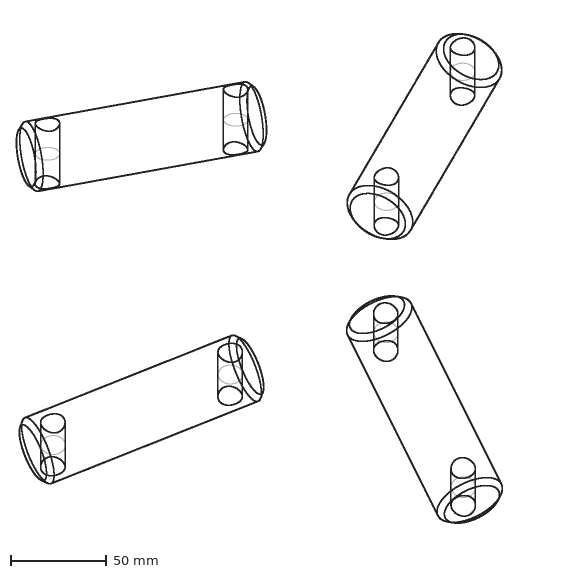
import cadquery as cq

pin_length = 128.1
pin_diameter = 37.3
end_chamfer = 3.0
hole_diameter = 12.8
hole_end_distance = 11.8

hole_offset = pin_length / 2 - hole_end_distance

pin = (
    cq.Workplane("XZ")
    .cylinder(pin_length, pin_diameter / 2)
    .faces("<Y or >Y")
    .chamfer(end_chamfer)
)

cross_holes = (
    cq.Workplane("XY")
    .pushPoints([(0, -hole_offset), (0, hole_offset)])
    .circle(hole_diameter / 2)
    .extrude(pin_diameter, both=True)
)

result = pin.cut(cross_holes)